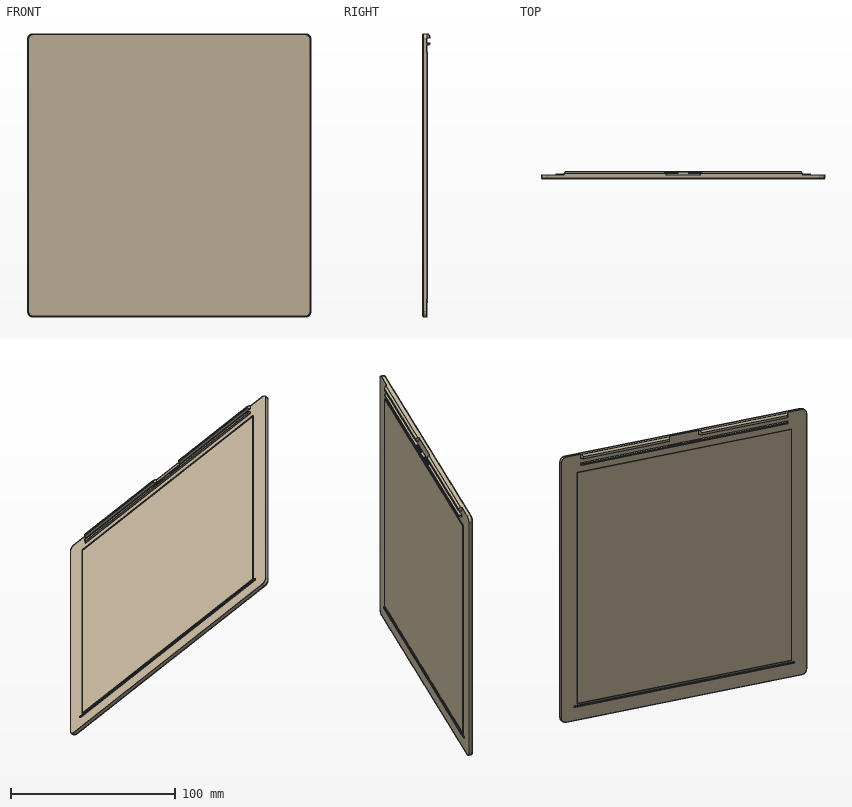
import cadquery as cq

side = 172.5
half_side = side / 2
corner_radius = 3.3
plate_thickness = 2.6
front_chamfer = 0.5
overall_depth = 4.5

relief_top = plate_thickness + 0.5
panel_half_width = 75.4
panel_top = 74.9
panel_bottom = -panel_half_width
bead_half_width = 77.5
bead_bottom = -bead_half_width
bead_top = bead_bottom + 0.9

rib_end_slope = 1.2
rib_outer_end = 73.0
upper_rib_inner_end = 10.2
upper_rib_bottom = 83.7
upper_rib_bevel = 1.2
lower_rib_top = 80.5
lower_rib_bottom = 79.4
lower_rib_bevel = 0.7

groove_inner_end = 3.1
groove_outer_end = upper_rib_inner_end + rib_end_slope
groove_depth = 0.3
groove_floor = 3.3
groove_height = 0.7


def block(x_range, y_range, z_range):
    """Box spanning the given (low, high) ranges."""
    lows, highs = zip(x_range, y_range, z_range)
    sizes = [high - low for low, high in zip(lows, highs)]
    return cq.Workplane("XY").box(*sizes, centered=False).translate(lows)


def make_plate():
    """Plate with rounded corners and a chamfered front edge."""
    plate = cq.Workplane("XY").box(side, plate_thickness, side, centered=(True, False, True))
    plate = plate.edges("|Y").fillet(corner_radius)
    return plate.faces("<Y").edges().chamfer(front_chamfer)


def make_rib(x_start, x_end, z_low, z_high):
    """Rib on the back face whose two ends slope inward as they rise."""
    root = plate_thickness / 2
    outline = [
        (x_start, root),
        (x_start, plate_thickness),
        (x_start + rib_end_slope, overall_depth),
        (x_end - rib_end_slope, overall_depth),
        (x_end, plate_thickness),
        (x_end, root),
    ]
    return cq.Workplane("XY").workplane(offset=z_low).polyline(outline).close().extrude(z_high - z_low)


def make_upper_rib():
    """Right-hand upper rib, flush with the top edge of the plate and beveled on its upper side."""
    rib = make_rib(upper_rib_inner_end, rib_outer_end, upper_rib_bottom, half_side)
    return rib.faces(">Y").edges(">Z").chamfer(upper_rib_bevel)


def make_lower_rib():
    """Full-length lower rib, beveled on its lower side and grooved on its upper side."""
    rib = make_rib(-rib_outer_end, rib_outer_end, lower_rib_bottom, lower_rib_top)
    rib = rib.faces(">Y").edges("<Z").chamfer(lower_rib_bevel)
    groove = block(
        (groove_inner_end, groove_outer_end),
        (groove_floor, groove_floor + groove_height),
        (lower_rib_top - groove_depth, lower_rib_top),
    )
    return rib.cut(groove).cut(groove.mirror("YZ"))


relief_depth = (plate_thickness / 2, relief_top)
panel = block((-panel_half_width, panel_half_width), relief_depth, (panel_bottom, panel_top))
bead = block((-bead_half_width, bead_half_width), relief_depth, (bead_bottom, bead_top))
upper_rib = make_upper_rib()

result = make_plate()
for feature in (panel, bead, upper_rib, upper_rib.mirror("YZ"), make_lower_rib()):
    result = result.union(feature)